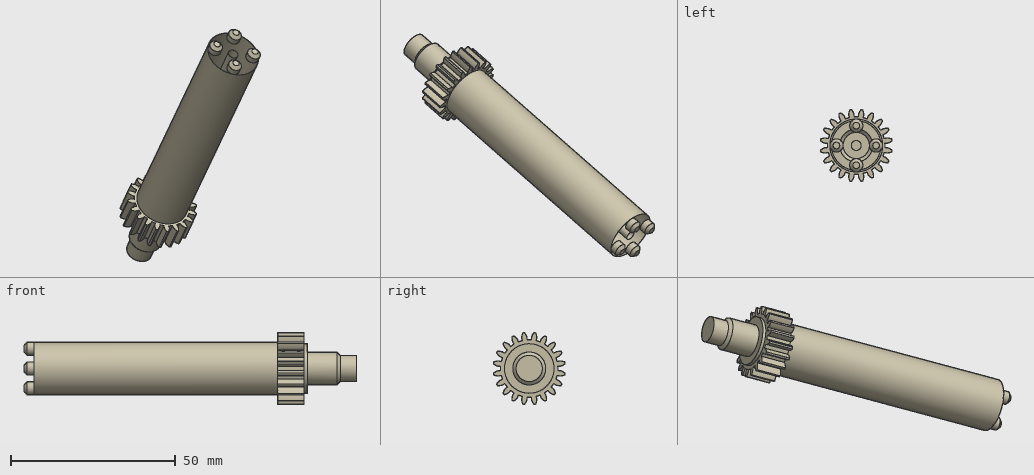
import cadquery as cq
import math

PIN_LENGTH = 3.0
BODY_LENGTH = 74.0
GEAR_WIDTH = 8.0
COLLAR_LENGTH = 1.0
SHOULDER_LENGTH = 9.0
TAPER_LENGTH = 1.0
JOURNAL_LENGTH = 4.9

BODY_DIAMETER = 16.1
COLLAR_DIAMETER = 15.0
SHOULDER_DIAMETER = 10.0
JOURNAL_DIAMETER = 8.0

PIN_COUNT = 4
PIN_DIAMETER = 4.0
PIN_CHAMFER = 1.0
PIN_CIRCLE_DIAMETER = BODY_DIAMETER - PIN_DIAMETER

HOLE_DIAMETER = 3.0
HOLE_DEPTH = 10.1

MODULE = 1.0
TOOTH_COUNT = 20
PRESSURE_ANGLE = math.radians(20)
DEDENDUM_FACTOR = 1.25
TOOTH_THINNING = 0.1
FLANK_POINTS = 5
PITCH_RADIUS = MODULE * TOOTH_COUNT / 2
TIP_RADIUS = PITCH_RADIUS + MODULE
ROOT_RADIUS = PITCH_RADIUS - DEDENDUM_FACTOR * MODULE
BASE_RADIUS = PITCH_RADIUS * math.cos(PRESSURE_ANGLE)
TOOTH_PITCH_ANGLE = 2 * math.pi / TOOTH_COUNT

BODY_START = PIN_LENGTH
GEAR_START = BODY_START + BODY_LENGTH
GEAR_END = GEAR_START + GEAR_WIDTH
COLLAR_END = GEAR_END + COLLAR_LENGTH
SHOULDER_END = COLLAR_END + SHOULDER_LENGTH
JOURNAL_START = SHOULDER_END + TAPER_LENGTH
JOURNAL_END = JOURNAL_START + JOURNAL_LENGTH


def polar(radius, angle):
    return (radius * math.cos(angle), radius * math.sin(angle))


def involute(pressure_angle):
    """Polar angle swept by an involute at the given local pressure angle."""
    return math.tan(pressure_angle) - pressure_angle


def half_tooth_angle(radius):
    """Half the angle a tooth spans at a radius on its involute flank."""
    local_pressure_angle = math.acos(BASE_RADIUS / radius)
    half_angle_at_pitch = TOOTH_PITCH_ANGLE / 4 - TOOTH_THINNING / (2 * PITCH_RADIUS)
    return half_angle_at_pitch + involute(PRESSURE_ANGLE) - involute(local_pressure_angle)


def make_shaft():
    """Body, collar, shoulder, taper and journal turned about the X axis."""
    profile = (
        cq.Workplane("XY")
        .moveTo(BODY_START, 0)
        .lineTo(BODY_START, BODY_DIAMETER / 2)
        .lineTo(GEAR_END, BODY_DIAMETER / 2)
        .lineTo(GEAR_END, COLLAR_DIAMETER / 2)
        .lineTo(COLLAR_END, COLLAR_DIAMETER / 2)
        .lineTo(COLLAR_END, SHOULDER_DIAMETER / 2)
        .lineTo(SHOULDER_END, SHOULDER_DIAMETER / 2)
        .lineTo(JOURNAL_START, JOURNAL_DIAMETER / 2)
        .lineTo(JOURNAL_END, JOURNAL_DIAMETER / 2)
        .lineTo(JOURNAL_END, 0)
        .close()
    )
    return profile.revolve(360, (0, 0, 0), (1, 0, 0))


def make_gear():
    """Spur gear with tooth gaps centred on the Y and Z axes."""
    flank_step = (TIP_RADIUS - BASE_RADIUS) / (FLANK_POINTS - 1)
    flank_radii = [BASE_RADIUS + flank_step * i for i in range(FLANK_POINTS)]
    base_half_angle = half_tooth_angle(BASE_RADIUS)

    outline = cq.Workplane("YZ", origin=(GEAR_START, 0, 0))
    outline = outline.moveTo(*polar(ROOT_RADIUS, TOOTH_PITCH_ANGLE / 2 - base_half_angle))
    for tooth in range(TOOTH_COUNT):
        center = (tooth + 0.5) * TOOTH_PITCH_ANGLE
        rising_flank = [polar(r, center - half_tooth_angle(r)) for r in flank_radii]
        falling_flank = [polar(r, center + half_tooth_angle(r)) for r in reversed(flank_radii)]
        gap_center = center + TOOTH_PITCH_ANGLE / 2
        next_tooth_start = center + TOOTH_PITCH_ANGLE - base_half_angle
        outline = (
            outline.lineTo(*rising_flank[0])
            .spline(rising_flank[1:], includeCurrent=True)
            .threePointArc(polar(TIP_RADIUS, center), falling_flank[0])
            .spline(falling_flank[1:], includeCurrent=True)
            .lineTo(*polar(ROOT_RADIUS, center + base_half_angle))
            .threePointArc(polar(ROOT_RADIUS, gap_center), polar(ROOT_RADIUS, next_tooth_start))
        )
    return outline.close().extrude(GEAR_WIDTH)


def make_pins():
    """Chamfered drive pins on the Y and Z axes of the end face."""
    return (
        cq.Workplane("YZ")
        .polarArray(PIN_CIRCLE_DIAMETER / 2, 0, 360, PIN_COUNT)
        .circle(PIN_DIAMETER / 2)
        .extrude(PIN_LENGTH)
        .faces("<X")
        .chamfer(PIN_CHAMFER)
    )


def make_center_hole():
    return (
        cq.Workplane("YZ", origin=(BODY_START, 0, 0))
        .circle(HOLE_DIAMETER / 2)
        .extrude(HOLE_DEPTH)
    )


result = make_shaft().union(make_gear()).union(make_pins()).cut(make_center_hole())